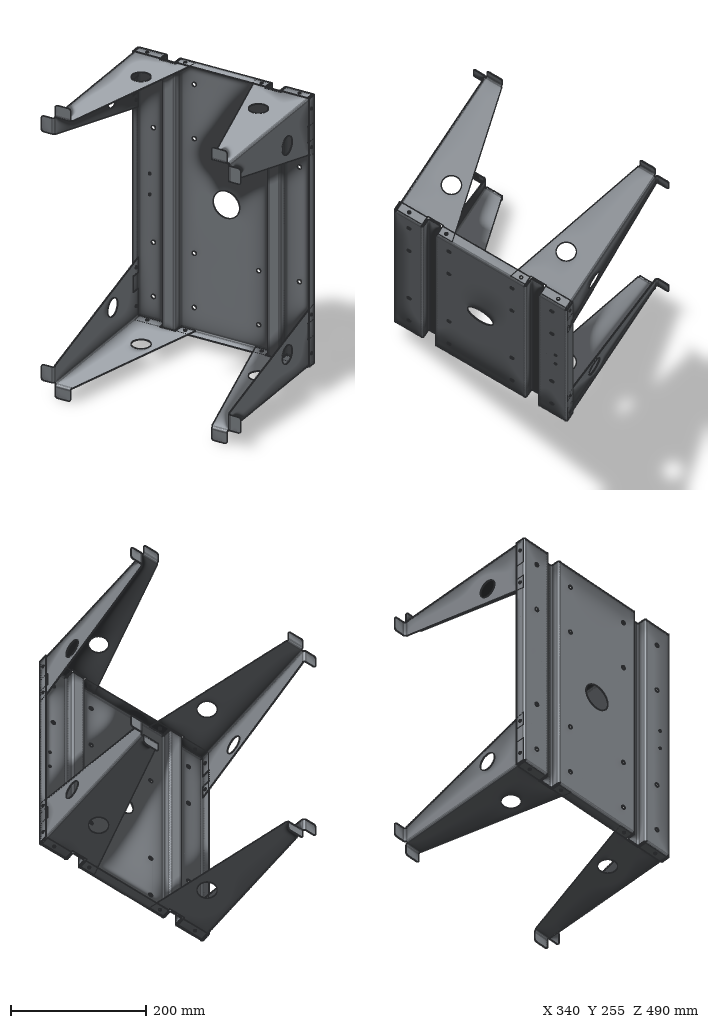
import cadquery as cq
import math

OVERALL_DEPTH = 255.0
OVERALL_HEIGHT = 490.0
REAR_Y = OVERALL_DEPTH / 2
FOOT_Y = -OVERALL_DEPTH / 2

PANEL_WIDTH = 302.0
PANEL_HEIGHT = 452.0
PANEL_DEPTH = 17.0
PANEL_THICKNESS = 1.5
PANEL_INNER_RADIUS = 2.0
PANEL_OUTER_RADIUS = PANEL_INNER_RADIUS + PANEL_THICKNESS
CHANNEL_X = 89.5
CHANNEL_OPENING = 20.0

PANEL_SIDE_X = PANEL_WIDTH / 2
PANEL_TOP_Z = PANEL_HEIGHT / 2
RIM_Y = REAR_Y - PANEL_DEPTH
WEB_FRONT_Y = REAR_Y - PANEL_THICKNESS
FOLD_TOP_Z = PANEL_TOP_Z - PANEL_OUTER_RADIUS
WALL_END_Z = PANEL_TOP_Z - PANEL_THICKNESS
FOLD_SIDE_X = PANEL_SIDE_X - PANEL_OUTER_RADIUS
CHANNEL_FOLD_HALF = CHANNEL_OPENING / 2 + PANEL_OUTER_RADIUS

CENTRE_HOLE_DIAMETER = 45.0
WEB_HOLE_DIAMETER = 7.0
WEB_HOLE_X = (55.0, 124.5)
WEB_HOLE_Z = (96.0, 186.5)
SMALL_HOLE_DIAMETER = 4.0
PAIR_HOLE_X = -131.0
PAIR_HOLE_SPACING = 35.0

BRACKET_THICKNESS = 1.5
CORNER_INNER_RADIUS = 1.5
CORNER_OUTER_RADIUS = CORNER_INNER_RADIUS + BRACKET_THICKNESS
BRACKET_REAR_GAP = 3.5
PLATE_REAR_WIDTH = 98.5
PLATE_FOOT_WIDTH = 31.0
FOOT_WIDTH = 29.5
FOOT_INNER_RADIUS = 2.5
FOOT_OUTER_RADIUS = FOOT_INNER_RADIUS + BRACKET_THICKNESS
FOOT_TIP_RADIUS = 4.5
PLATE_HOLE_DIAMETER = 30.0
PLATE_HOLE_OFFSET = 49.5
PLATE_HOLE_Y = 47.5
NOTCH_CLEARANCE = 2.0

BRACKET_X = PANEL_SIDE_X - PANEL_THICKNESS
BRACKET_Z = PANEL_TOP_Z - PANEL_THICKNESS
FOOT_REACH = OVERALL_HEIGHT / 2 - BRACKET_Z
BRACKET_REAR_Y = REAR_Y - BRACKET_REAR_GAP
FOOT_FOLD_Y = FOOT_Y + FOOT_OUTER_RADIUS
NOTCH_OFFSET = BRACKET_X - CHANNEL_X
NOTCH_HALF_WIDTH = CHANNEL_FOLD_HALF
NOTCH_FRONT_Y = RIM_Y - NOTCH_CLEARANCE

FIXING_OFFSETS = (19.5, 84.5)
FIXING_Y = 117.5
PLATE_FIXING_DIAMETER = 5.0

SHORTEST_LINE = 0.005


def rounded_outline(plane, corners):
    """Closed outline of (u, v, radius) corners; every rounded corner is a right angle."""
    outline = cq.Workplane(plane)
    position = None
    for index, (u, v, radius) in enumerate(corners):
        corner = cq.Vector(u, v)
        previous = cq.Vector(*corners[index - 1][:2])
        following = cq.Vector(*corners[(index + 1) % len(corners)][:2])
        to_previous = (previous - corner).normalized() * radius
        to_following = (following - corner).normalized() * radius
        entry = corner + to_previous
        if position is None:
            outline = outline.moveTo(entry.x, entry.y)
        elif (entry - position).Length > SHORTEST_LINE:
            outline = outline.lineTo(entry.x, entry.y)
        position = entry
        if radius > 0:
            middle = corner + (to_previous + to_following) * (1 - math.sqrt(0.5))
            position = corner + to_following
            outline = outline.threePointArc((middle.x, middle.y), (position.x, position.y))
    return outline.close()


def box_between(x_range, y_range, z_range):
    lengths = [high - low for low, high in (x_range, y_range, z_range)]
    return (
        cq.Workplane("XY")
        .box(*lengths, centered=False)
        .translate((x_range[0], y_range[0], z_range[0]))
    )


def rod_y(diameter, positions):
    """Long cutters along Y at (x, z) positions."""
    plane = cq.Workplane("XZ").pushPoints(positions)
    return plane.circle(diameter / 2).extrude(OVERALL_DEPTH, both=True)


def mirrored_face(left_half):
    right_half = [(-x, y, radius) for x, y, radius in reversed(left_half)]
    return left_half + right_half


def folded_web():
    """Web, channels and side flanges: one bent profile run up the panel."""
    outer, inner = PANEL_OUTER_RADIUS, PANEL_INNER_RADIUS
    back_half = CHANNEL_OPENING / 2
    front_half = back_half + PANEL_THICKNESS
    side_inner_x = PANEL_SIDE_X - PANEL_THICKNESS
    floor_back_y = RIM_Y + PANEL_THICKNESS
    back_face = mirrored_face([
        (-PANEL_SIDE_X, RIM_Y, 0),
        (-PANEL_SIDE_X, REAR_Y, outer),
        (-CHANNEL_X - back_half, REAR_Y, outer),
        (-CHANNEL_X - back_half, floor_back_y, inner),
        (-CHANNEL_X + back_half, floor_back_y, inner),
        (-CHANNEL_X + back_half, REAR_Y, outer),
    ])
    front_face = mirrored_face([
        (-side_inner_x, RIM_Y, 0),
        (-side_inner_x, WEB_FRONT_Y, inner),
        (-CHANNEL_X - front_half, WEB_FRONT_Y, inner),
        (-CHANNEL_X - front_half, RIM_Y, outer),
        (-CHANNEL_X + front_half, RIM_Y, outer),
        (-CHANNEL_X + front_half, WEB_FRONT_Y, inner),
    ])
    profile = rounded_outline("XY", back_face + front_face[::-1])
    return profile.extrude(WALL_END_Z, both=True)


def end_flange(x_start, x_end):
    """One top flange with its fold, between two X positions."""
    profile = rounded_outline("YZ", [
        (RIM_Y, PANEL_TOP_Z, 0),
        (REAR_Y, PANEL_TOP_Z, PANEL_OUTER_RADIUS),
        (REAR_Y, FOLD_TOP_Z, 0),
        (WEB_FRONT_Y, FOLD_TOP_Z, 0),
        (WEB_FRONT_Y, PANEL_TOP_Z - PANEL_THICKNESS, PANEL_INNER_RADIUS),
        (RIM_Y, PANEL_TOP_Z - PANEL_THICKNESS, 0),
    ])
    return profile.extrude(x_end - x_start).translate((x_start, 0, 0))


def fixing_holes():
    """Cutters through the panel rim: along Z at the ends and along X at the sides."""
    x_places = [
        (sign * (BRACKET_X - offset), FIXING_Y)
        for sign in (-1, 1)
        for offset in FIXING_OFFSETS
    ]
    z_places = [
        (FIXING_Y, sign * (BRACKET_Z - offset))
        for sign in (-1, 1)
        for offset in FIXING_OFFSETS
    ]
    radius = SMALL_HOLE_DIAMETER / 2
    end_rods = cq.Workplane("XY").pushPoints(x_places).circle(radius).extrude(OVERALL_HEIGHT, both=True)
    side_rods = cq.Workplane("YZ").pushPoints(z_places).circle(radius).extrude(PANEL_WIDTH, both=True)
    channels_reach = CHANNEL_X + CHANNEL_FOLD_HALF
    middle = box_between(
        (-channels_reach, channels_reach),
        (RIM_Y, REAR_Y),
        (-PANEL_HEIGHT, PANEL_HEIGHT),
    )
    return end_rods.union(side_rods.cut(middle))


def make_panel():
    panel = folded_web()
    channel_inner = CHANNEL_X - CHANNEL_FOLD_HALF
    channel_outer = CHANNEL_X + CHANNEL_FOLD_HALF
    flange_spans = (
        (-FOLD_SIDE_X, -channel_outer),
        (-channel_inner, channel_inner),
        (channel_outer, FOLD_SIDE_X),
    )
    for x_start, x_end in flange_spans:
        web_end = box_between((x_start, x_end), (WEB_FRONT_Y, REAR_Y), (FOLD_TOP_Z, WALL_END_Z))
        flange = end_flange(x_start, x_end)
        panel = panel.cut(web_end).cut(web_end.mirror("XY"))
        panel = panel.union(flange).union(flange.mirror("XY"))

    web_places = [
        (x_sign * x, z_sign * z)
        for x in WEB_HOLE_X
        for z in WEB_HOLE_Z
        for x_sign in (-1, 1)
        for z_sign in (-1, 1)
    ]
    pair_places = [(PAIR_HOLE_X, sign * PAIR_HOLE_SPACING / 2) for sign in (-1, 1)]
    panel = panel.cut(rod_y(CENTRE_HOLE_DIAMETER, [(0, 0)]))
    panel = panel.cut(rod_y(WEB_HOLE_DIAMETER, web_places))
    panel = panel.cut(rod_y(SMALL_HOLE_DIAMETER, pair_places))
    return panel.cut(fixing_holes())


def tapered_plate():
    """Upper plate of a bracket whose outer corner runs along the Y axis."""
    plate = (
        cq.Workplane("XY")
        .polyline([
            (-CORNER_OUTER_RADIUS, BRACKET_REAR_Y),
            (-PLATE_REAR_WIDTH, BRACKET_REAR_Y),
            (-PLATE_FOOT_WIDTH, FOOT_FOLD_Y),
            (-CORNER_OUTER_RADIUS, FOOT_FOLD_Y),
        ])
        .close()
        .extrude(-BRACKET_THICKNESS)
    )
    notch = box_between(
        (-NOTCH_OFFSET - NOTCH_HALF_WIDTH, -NOTCH_OFFSET + NOTCH_HALF_WIDTH),
        (NOTCH_FRONT_Y, REAR_Y),
        (-BRACKET_THICKNESS, 0),
    )
    large_hole = cq.Workplane("XY").center(-PLATE_HOLE_OFFSET, PLATE_HOLE_Y)
    large_hole = large_hole.circle(PLATE_HOLE_DIAMETER / 2).extrude(-BRACKET_THICKNESS)
    fixing_places = [(-offset, FIXING_Y) for offset in FIXING_OFFSETS]
    fixings = cq.Workplane("XY").pushPoints(fixing_places)
    fixings = fixings.circle(PLATE_FIXING_DIAMETER / 2).extrude(-BRACKET_THICKNESS)
    return plate.cut(notch).cut(large_hole).cut(fixings)


def foot():
    """Outward-bent foot at the front end of the upper plate."""
    profile = rounded_outline("YZ", [
        (FOOT_FOLD_Y, -BRACKET_THICKNESS, 0),
        (FOOT_Y, -BRACKET_THICKNESS, FOOT_OUTER_RADIUS),
        (FOOT_Y, FOOT_REACH, 0),
        (FOOT_Y + BRACKET_THICKNESS, FOOT_REACH, 0),
        (FOOT_Y + BRACKET_THICKNESS, 0, FOOT_INNER_RADIUS),
        (FOOT_FOLD_Y, 0, 0),
    ])
    strip = profile.extrude(FOOT_WIDTH - CORNER_OUTER_RADIUS).translate((-FOOT_WIDTH, 0, 0))
    return strip.faces(">Z").edges("|Y").fillet(FOOT_TIP_RADIUS)


def corner_fold():
    """Quarter-round strip joining the two plates of a bracket."""
    strip = (
        cq.Workplane("XZ", origin=(-CORNER_OUTER_RADIUS, 0, -CORNER_OUTER_RADIUS))
        .circle(CORNER_OUTER_RADIUS)
        .circle(CORNER_INNER_RADIUS)
        .extrude(FOOT_FOLD_Y - BRACKET_REAR_Y)
        .translate((0, FOOT_FOLD_Y, 0))
    )
    quadrant = box_between(
        (-CORNER_OUTER_RADIUS, 0),
        (FOOT_FOLD_Y, BRACKET_REAR_Y),
        (-CORNER_OUTER_RADIUS, 0),
    )
    return strip.intersect(quadrant)


def make_bracket():
    """Bracket for the +X, +Z corner; its side plate mirrors its upper plate."""
    upper_plate = tapered_plate().union(foot())
    side_plate = upper_plate.mirror(cq.Vector(1, 0, -1))
    bracket = upper_plate.union(corner_fold()).union(side_plate)
    return bracket.translate((BRACKET_X, 0, BRACKET_Z))


panel = make_panel()
bracket = make_bracket()
brackets = [
    bracket,
    bracket.mirror("YZ"),
    bracket.mirror("XY"),
    bracket.mirror("YZ").mirror("XY"),
]

result = cq.Compound.makeCompound([panel.val(), *[corner.val() for corner in brackets]])